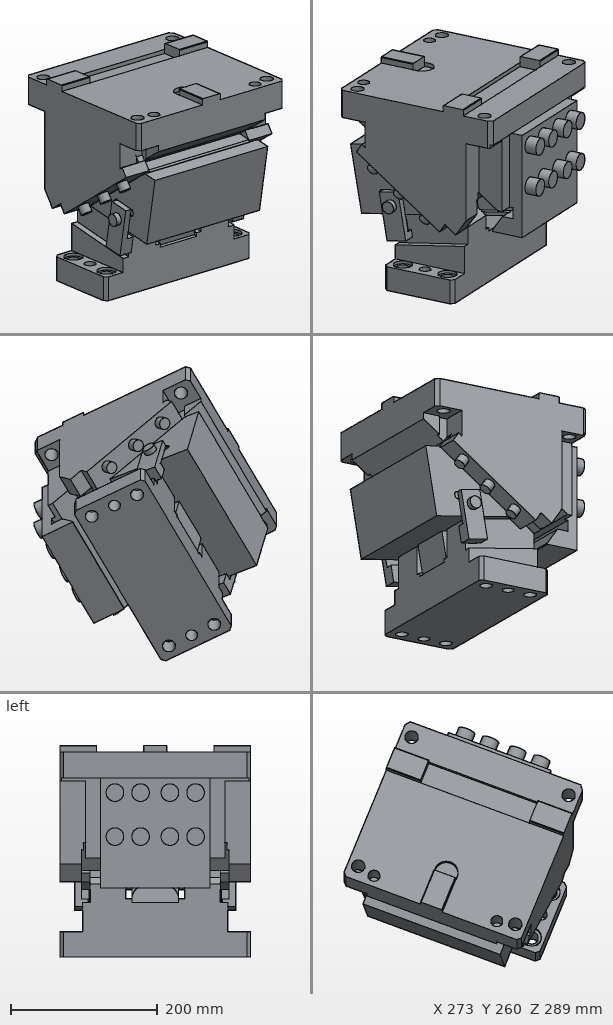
import cadquery as cq
import math


PLATE_LENGTH = 240.0
FULL_WIDTH = 260.0
PLATE_BOTTOM = 240.0
PLATE_TOP = 280.0
KEY_TOP = 289.0

REACH = 500.0

GUIDE_ANGLE = math.radians(35)
GUIDE_START = (57.0, 103.0)
GIB_START = 20.5
GIB_LENGTH = 160.0
GIB_END = GIB_START + GIB_LENGTH
GIB_THICKNESS = 15.0
GIB_INNER_WIDTH = 178.0
HEAD_START = 27.0
HEAD_STEP = 45.0
HEAD_THICKNESS = 53.0
HEAD_WIDTH = 201.0
HEAD_TOP_WIDTH = 196.0

DRIVER_ANGLE = math.radians(10)
DRIVER_START = (74.5, 118.0)

PLATE_CORNER_FRONT = 6.5
PLATE_CORNER = 5.0
RABBET_DEPTH = 4.0
RABBET_HEIGHT = 4.5
CORE_START = 40.5
CORE_END = 200.0
CORE_KNEE = 127.0
BLOCK_WIDTH = 190.0
BLOCK_BOTTOM = 135.5
BLOCK_SLOPE_START = 11.0
STOP_RIB_WIDTH = 180.0
STOP_STEP = 214.5
PLATE_HOLE_DIAMETER = 18.0
PLATE_HOLE_INSET = 20.0
PLATE_HOLE_Y = 115.0
DOWEL_DIAMETER = 16.0
DOWEL_DEPTH = 30.0
DOWEL_X = 225.0
DOWEL_Y = 90.0
KEYWAY_DEPTH = 6.0
KEYWAY_WIDTH = 32.0
CROSS_KEYWAY_START = 45.0
CROSS_KEY_LENGTH = 50.0
END_KEYWAY_START = 168.5
END_KEY_LENGTH = 50.0
KEY_CHAMFER = 1.0

HOOK_WIDTH = 150.0
HOOK_OUTER = -16.0
HOOK_TOP = PLATE_BOTTOM + RABBET_HEIGHT
HOOK_HEIGHT = 150.0
HOOK_BOTTOM = HOOK_TOP - HOOK_HEIGHT
HOOK_NOTCH = -1.5
HOOK_FOOT_TOP = 119.5
HOOK_TOE_START = 15.0
HOOK_TOE_END = 31.0
HOOK_TOE_HEIGHT = 2.0
SCREW_DIAMETER = 24.0
SCREW_LENGTH = 17.0
SCREW_ROWS = (164.5, 224.5)
SCREW_COLUMNS = (-55.0, -20.0, 20.0, 55.0)

BOLT_DIAMETER = 16.0
BOLT_LENGTH = 12.5
BOLT_Y = 116.5
BOLT_FIRST = 50.0
BOLT_PITCH = 50.0
BOLT_COUNT = 3

SLIDE_CLEARANCE = 2.7
WEDGE_LENGTH = 150.0
WEDGE_HEIGHT = 100.0
TONGUE_WIDTH = 64.0
TONGUE_END = 100.0
CLIP_START = 80.0
CLIP_END = 110.0
CLIP_TOP = 35.0
CLIP_BOTTOM = -35.5
CLIP_OUTER_Y = 110.0
CLIP_FOOT_TOP = -25.0
CLIP_FOOT_Y = 91.5
CLIP_LUG_TOP = -11.0
CLIP_LUG_Y = 90.0
CLIP_LUG_SETBACK = 6.0
CLIP_PIN_DIAMETER = 17.5
CLIP_PIN_AT = (95.0, 15.0)
CLIP_PIN_LENGTH = 8.0
RECESS_OVERHANG = 5.0
RECESS_HEIGHT = 10.0
RECESS_DEPTH = 2.0
RECESS_RADIUS = 4.0
TONGUE_CAP = 3.0
TONGUE_CAP_TOP = -6.0
TONGUE_CAP_RADIUS = 20.0

BASE_START = 61.0
BASE_END = 170.0
FLANGE_HEIGHT = 35.0
FLANGE_CORNER = 5.0
BASE_BODY_WIDTH = 198.0
BASE_TOP_WIDTH = 178.0
BASE_SHOULDER = 100.0
BASE_RIDGE = (73.0, 109.0)
LEDGE_DROP = 45.0
GROOVE_WIDTH = 80.0
GROOVE_DROP = 40.0
FLANGE_HOLE_Y = 112.0
FLANGE_HOLE_PITCH = 35.0
FLANGE_HOLE_DIAMETER = 17.5
FLANGE_DOWEL_DIAMETER = 16.0
COUNTERBORE_DIAMETER = 26.0
COUNTERBORE_DEPTH = 4.0


def guide_point(along, above):
    """Point (X, Z) given in the 35 degree guide frame."""
    x = GUIDE_START[0] + along * math.cos(GUIDE_ANGLE) - above * math.sin(GUIDE_ANGLE)
    z = GUIDE_START[1] + along * math.sin(GUIDE_ANGLE) + above * math.cos(GUIDE_ANGLE)
    return (x, z)


def driver_point(along, above):
    """Point (X, Z) given in the 10 degree driver frame."""
    x = DRIVER_START[0] + along * math.cos(DRIVER_ANGLE) + above * math.sin(DRIVER_ANGLE)
    z = DRIVER_START[1] - along * math.sin(DRIVER_ANGLE) + above * math.cos(DRIVER_ANGLE)
    return (x, z)


def driver_height(x, above=0.0):
    """Z at a given X of the plane lying a distance above the driver top."""
    x_start, z_start = driver_point(0, above)
    return z_start - (x - x_start) * math.tan(DRIVER_ANGLE)


def extrude_y(points, y_min, y_max):
    """Prism with an XZ outline between two Y levels."""
    return cq.Workplane("XZ", origin=(0, y_min, 0)).polyline(points).close().extrude(y_min - y_max)


def centred(points, width):
    return extrude_y(points, -width / 2, width / 2)


def rectangle(point, start, bottom, end, top):
    """Corners of a rectangle in one of the tilted frames."""
    return [point(start, bottom), point(end, bottom), point(end, top), point(start, top)]


def box(x_min, x_max, y_min, y_max, z_min, z_max):
    size = (x_max - x_min, y_max - y_min, z_max - z_min)
    return cq.Workplane("XY").box(*size, centered=False).translate((x_min, y_min, z_min))


def with_mirror(solid):
    """The solid and its mirror image across Y = 0."""
    return solid.union(solid.mirror("XZ"))


def vertical_cylinders(points, diameter, z_min, z_max):
    circles = cq.Workplane("XY", origin=(0, 0, z_min)).pushPoints(points).circle(diameter / 2)
    return circles.extrude(z_max - z_min)



def top_plate():
    half = FULL_WIDTH / 2
    half_flat = half - PLATE_CORNER
    end_flat = PLATE_LENGTH - PLATE_CORNER
    outline = [
        (0, -half_flat), (PLATE_CORNER_FRONT, -half), (end_flat, -half), (PLATE_LENGTH, -half_flat),
        (PLATE_LENGTH, half_flat), (end_flat, half), (PLATE_CORNER_FRONT, half), (0, half_flat),
    ]
    plate = cq.Workplane("XY", origin=(0, 0, PLATE_BOTTOM)).polyline(outline).close()
    plate = plate.extrude(PLATE_TOP - PLATE_BOTTOM)
    rabbet = box(0, RABBET_DEPTH, -half, half, PLATE_BOTTOM, PLATE_BOTTOM + RABBET_HEIGHT)
    return plate.cut(rabbet)


def guide_core():
    """Full-width body under the plate; its lower edge is the guide plane."""
    rise = (CORE_END - GUIDE_START[0]) * math.tan(GUIDE_ANGLE)
    outline = [
        (CORE_START, PLATE_BOTTOM), (CORE_START, CORE_KNEE), GUIDE_START,
        (CORE_END, GUIDE_START[1] + rise), (CORE_END, PLATE_BOTTOM),
    ]
    return centred(outline, FULL_WIDTH)


def front_block():
    """Block between the hook plate and the core, undercut along the pocket roof."""
    slope_rise = (CORE_START - BLOCK_SLOPE_START) * math.tan(GUIDE_ANGLE)
    outline = [
        (RABBET_DEPTH, HOOK_TOP), (RABBET_DEPTH, BLOCK_BOTTOM), (BLOCK_SLOPE_START, BLOCK_BOTTOM),
        (CORE_START, BLOCK_BOTTOM + slope_rise), (CORE_START, HOOK_TOP),
    ]
    return centred(outline, BLOCK_WIDTH)


def end_stop():
    """Block under the plate that closes the upper end of the slide pocket."""
    corner = guide_point(GIB_END, 0)
    upper_z = corner[1] + (PLATE_LENGTH - corner[0]) * math.tan(GUIDE_ANGLE)
    upper_x = corner[0] - (PLATE_TOP - KEYWAY_DEPTH - corner[1]) * math.tan(GUIDE_ANGLE)
    roof = PLATE_TOP - KEYWAY_DEPTH
    outline = [corner, (PLATE_LENGTH, upper_z), (PLATE_LENGTH, roof), (upper_x, roof)]
    stop = centred(outline, STOP_RIB_WIDTH)
    half = BLOCK_WIDTH / 2
    wide_part = centred(outline, BLOCK_WIDTH)
    wide_part = wide_part.intersect(box(STOP_STEP, PLATE_LENGTH, -half, half, 0, PLATE_BOTTOM))
    return stop.union(wide_part)


def hook_plate():
    outline = [
        (HOOK_OUTER, HOOK_TOP), (HOOK_OUTER, HOOK_BOTTOM), (HOOK_TOE_END, HOOK_BOTTOM),
        (HOOK_TOE_END, HOOK_BOTTOM + HOOK_TOE_HEIGHT), (HOOK_TOE_START, HOOK_FOOT_TOP),
        (HOOK_NOTCH, HOOK_FOOT_TOP), (HOOK_NOTCH, BLOCK_BOTTOM), (RABBET_DEPTH, BLOCK_BOTTOM),
        (RABBET_DEPTH, HOOK_TOP),
    ]
    return centred(outline, HOOK_WIDTH)


def hook_screws():
    places = [(y, z) for y in SCREW_COLUMNS for z in SCREW_ROWS]
    screws = cq.Workplane("YZ", origin=(HOOK_OUTER, 0, 0)).pushPoints(places)
    return screws.circle(SCREW_DIAMETER / 2).extrude(-SCREW_LENGTH)


def gibs():
    outline = rectangle(guide_point, GIB_START, -GIB_THICKNESS, GIB_END, 0)
    return with_mirror(extrude_y(outline, GIB_INNER_WIDTH / 2, FULL_WIDTH / 2))


def gib_bolts():
    down = cq.Vector(math.sin(GUIDE_ANGLE), 0, -math.cos(GUIDE_ANGLE))
    bolts = cq.Workplane("XY")
    for number in range(BOLT_COUNT):
        x, z = guide_point(BOLT_FIRST + number * BOLT_PITCH, -GIB_THICKNESS)
        bolt = cq.Solid.makeCylinder(BOLT_DIAMETER / 2, BOLT_LENGTH, cq.Vector(x, BOLT_Y, z), down)
        bolts = bolts.add(bolt)
    return with_mirror(bolts.combine())


def keyways():
    floor = PLATE_TOP - KEYWAY_DEPTH
    half = FULL_WIDTH / 2
    cross = box(CROSS_KEYWAY_START, CROSS_KEYWAY_START + KEYWAY_WIDTH, -half, half, floor, PLATE_TOP)
    radius = KEYWAY_WIDTH / 2
    end = box(END_KEYWAY_START + radius, PLATE_LENGTH, -radius, radius, floor, PLATE_TOP)
    round_end = vertical_cylinders([(END_KEYWAY_START + radius, 0)], KEYWAY_WIDTH, floor, PLATE_TOP)
    return cross.union(end).union(round_end)


def keys():
    floor = PLATE_TOP - KEYWAY_DEPTH
    half = FULL_WIDTH / 2
    cross_end = CROSS_KEYWAY_START + KEYWAY_WIDTH
    cross = box(CROSS_KEYWAY_START, cross_end, half - CROSS_KEY_LENGTH, half, floor, KEY_TOP)
    cross = cross.faces(">Z").edges("|Y").chamfer(KEY_CHAMFER)
    radius = KEYWAY_WIDTH / 2
    end = box(PLATE_LENGTH - END_KEY_LENGTH, PLATE_LENGTH, -radius, radius, floor, KEY_TOP)
    end = end.faces(">Z").edges("|X").chamfer(KEY_CHAMFER)
    return with_mirror(cross).union(end)


def plate_holes():
    places = [(x, y) for x in (PLATE_HOLE_INSET, PLATE_LENGTH - PLATE_HOLE_INSET)
              for y in (-PLATE_HOLE_Y, PLATE_HOLE_Y)]
    holes = vertical_cylinders(places, PLATE_HOLE_DIAMETER, PLATE_BOTTOM, PLATE_TOP)
    dowels = [(DOWEL_X, -DOWEL_Y), (DOWEL_X, DOWEL_Y)]
    return holes.union(vertical_cylinders(dowels, DOWEL_DIAMETER, PLATE_TOP - DOWEL_DEPTH, PLATE_TOP))


def slide_head(start):
    """Stepped slide head, also used for the pocket it fills, from a given place along the guide."""
    lower = centred(rectangle(guide_point, start, 0, GIB_END, HEAD_STEP), HEAD_WIDTH)
    upper = centred(rectangle(guide_point, start, HEAD_STEP, GIB_END, HEAD_THICKNESS), HEAD_TOP_WIDTH)
    return lower.union(upper)


def build_holder():
    holder = top_plate().union(guide_core()).cut(slide_head(-REACH))
    holder = holder.union(front_block()).union(end_stop())
    holder = holder.union(hook_plate()).union(hook_screws())
    holder = holder.union(gibs()).union(gib_bolts())
    return holder.cut(keyways()).union(keys()).cut(plate_holes())



def wedge():
    """Body between the sloping driver top and the underside of the gibs."""
    block = centred(rectangle(driver_point, 0, 0, WEDGE_LENGTH, WEDGE_HEIGHT), HEAD_WIDTH)
    below_gibs = rectangle(guide_point, -REACH, -REACH, REACH, -GIB_THICKNESS - SLIDE_CLEARANCE)
    return block.intersect(centred(below_gibs, HEAD_WIDTH))


def neck():
    """Narrow stretch between the gibs that joins the wedge to the head."""
    band = centred(rectangle(guide_point, HEAD_START, -REACH, GIB_END, 0), GIB_INNER_WIDTH)
    wedge_outline = rectangle(driver_point, 0, 0, WEDGE_LENGTH, WEDGE_HEIGHT)
    return band.intersect(centred(wedge_outline, GIB_INNER_WIDTH))


def tongue():
    """Key under the wedge that runs in the base groove, with a round-cornered cap on its front end."""
    bar = centred(rectangle(driver_point, CLIP_START, -LEDGE_DROP, TONGUE_END, 0), TONGUE_WIDTH)
    cap_start = CLIP_START - TONGUE_CAP
    cap = centred(rectangle(driver_point, cap_start, -LEDGE_DROP, CLIP_START, TONGUE_CAP_TOP), TONGUE_WIDTH)
    top_corner = driver_point(cap_start, TONGUE_CAP_TOP)
    for side in (-1, 1):
        corner = cq.selectors.NearestToPointSelector((top_corner[0], side * TONGUE_WIDTH / 2, top_corner[1]))
        cap = cap.edges("not |Y").edges(corner).fillet(TONGUE_CAP_RADIUS)
    return bar.union(cap)


def clip():
    """Return clip on the +Y side: side plate, inward foot and lug, and a pin."""
    inner = HEAD_WIDTH / 2
    plate_outline = rectangle(driver_point, CLIP_START, CLIP_BOTTOM, CLIP_END, CLIP_TOP)
    plate = extrude_y(plate_outline, inner, CLIP_OUTER_Y)
    foot_outline = rectangle(driver_point, CLIP_START, CLIP_BOTTOM, CLIP_END, CLIP_FOOT_TOP)
    foot = extrude_y(foot_outline, CLIP_FOOT_Y, CLIP_OUTER_Y)
    lug_start = CLIP_START + CLIP_LUG_SETBACK
    lug_outline = rectangle(driver_point, lug_start, CLIP_BOTTOM, CLIP_END, CLIP_LUG_TOP)
    lug = extrude_y(lug_outline, CLIP_LUG_Y, inner)
    x, z = driver_point(*CLIP_PIN_AT)
    pin = cq.Solid.makeCylinder(
        CLIP_PIN_DIAMETER / 2, CLIP_PIN_LENGTH, cq.Vector(x, CLIP_OUTER_Y, z), cq.Vector(0, 1, 0))
    return plate.union(foot).union(lug).union(cq.Workplane(pin))


def clip_recess():
    """Shallow round-cornered recess in the wedge side behind the top of the clip."""
    inner = HEAD_WIDTH / 2
    outline = rectangle(driver_point, CLIP_START - RECESS_OVERHANG, CLIP_TOP - RECESS_HEIGHT,
                        CLIP_END + RECESS_OVERHANG, CLIP_TOP)
    return extrude_y(outline, inner - RECESS_DEPTH, inner).edges("|Y").fillet(RECESS_RADIUS)


def build_slide():
    slide = wedge().union(neck()).union(slide_head(HEAD_START))
    slide = slide.cut(with_mirror(clip_recess()))
    return slide.union(tongue()).union(with_mirror(clip()))



def base_flange():
    half = FULL_WIDTH / 2
    return box(BASE_START, BASE_END, -half, half, 0, FLANGE_HEIGHT).edges("|Z").chamfer(FLANGE_CORNER)


def base_column():
    ledge = [
        (BASE_START, 0), (BASE_END, 0), (BASE_END, driver_height(BASE_END, -LEDGE_DROP)),
        (BASE_START, driver_height(BASE_START, -LEDGE_DROP)),
    ]
    top = [
        (BASE_START, 0), (BASE_END, 0), (BASE_END, driver_height(BASE_END)), DRIVER_START,
        BASE_RIDGE, (BASE_START, BASE_SHOULDER),
    ]
    return centred(ledge, BASE_BODY_WIDTH).union(centred(top, BASE_TOP_WIDTH))


def base_groove():
    """Groove along the driver top with a deeper, narrower channel for the tongue."""
    groove = centred(rectangle(driver_point, -REACH, -GROOVE_DROP, REACH, REACH), GROOVE_WIDTH)
    channel = centred(rectangle(driver_point, -REACH, -LEDGE_DROP, REACH, 0), TONGUE_WIDTH)
    return groove.union(channel)


def flange_holes():
    middle = (BASE_START + BASE_END) / 2
    screws = [(middle + step, side * FLANGE_HOLE_Y)
              for step in (-FLANGE_HOLE_PITCH, FLANGE_HOLE_PITCH) for side in (-1, 1)]
    dowels = [(middle, -FLANGE_HOLE_Y), (middle, FLANGE_HOLE_Y)]
    holes = vertical_cylinders(screws, FLANGE_HOLE_DIAMETER, 0, FLANGE_HEIGHT)
    counterbore_floor = FLANGE_HEIGHT - COUNTERBORE_DEPTH
    holes = holes.union(vertical_cylinders(screws, COUNTERBORE_DIAMETER, counterbore_floor, FLANGE_HEIGHT))
    return holes.union(vertical_cylinders(dowels, FLANGE_DOWEL_DIAMETER, 0, FLANGE_HEIGHT))


def build_base():
    base = base_column().cut(base_groove()).union(base_flange())
    return base.cut(flange_holes())


holder = build_holder()
slide = build_slide()
base = build_base()

result = cq.Compound.makeCompound([*holder.vals(), *slide.vals(), *base.vals()])